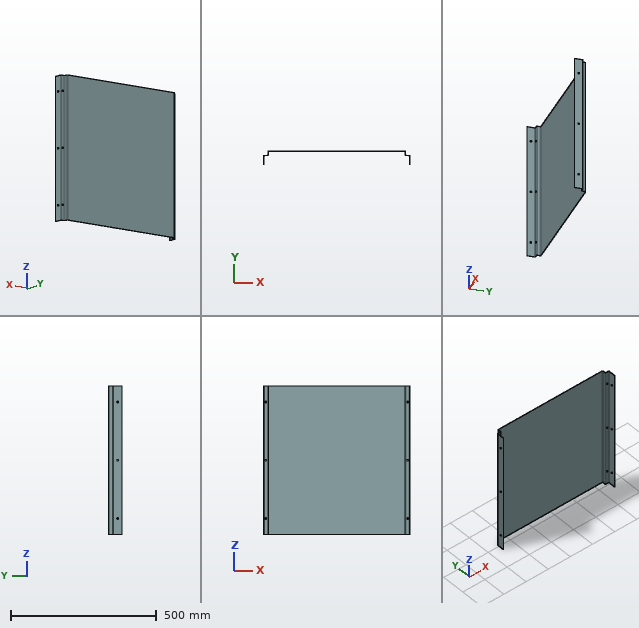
import cadquery as cq

width = 503.0
depth = 46.5
height = 510.0

thickness = 1.5
inner_bend_radius = 1.5
outer_bend_radius = inner_bend_radius + thickness

step_width = 15.0
step_depth = 15.0

hole_diameter = 5.0
hole_pitch = 200.0
shelf_hole_inset = 7.5
flange_hole_setback = 15.0

half_width = width / 2
half_depth = depth / 2
shelf_back = half_depth - step_depth
web_outer_x = half_width - step_width
hole_heights = [-hole_pitch, 0, hole_pitch]


def vertical_prism(points):
    """Extrude a closed XY outline over the full panel height."""
    return cq.Workplane("XY").workplane(offset=-height / 2).polyline(points).close().extrude(height)


def round_edge(body, x, y, radius):
    """Round the vertical edges at (x, y) and at its mirror image (-x, y)."""
    reach = thickness / 4
    for side in (-1, 1):
        corner = cq.selectors.BoxSelector(
            (side * x - reach, y - reach, -reach),
            (side * x + reach, y + reach, reach),
        )
        body = body.edges(corner).fillet(radius)
    return body


def bent_sheet():
    """Constant-thickness stepped channel with rounded bends."""
    right_outer = [
        (web_outer_x, half_depth),
        (web_outer_x, shelf_back),
        (half_width, shelf_back),
        (half_width, -half_depth),
    ]
    right_inner = [
        (half_width - thickness, -half_depth),
        (half_width - thickness, shelf_back - thickness),
        (web_outer_x - thickness, shelf_back - thickness),
        (web_outer_x - thickness, half_depth - thickness),
    ]
    right_half = right_outer + right_inner
    left_half = [(-x, y) for x, y in reversed(right_half)]
    body = vertical_prism(right_half + left_half)

    outside_of_bends = [
        (web_outer_x, half_depth),
        (half_width, shelf_back),
        (web_outer_x - thickness, shelf_back - thickness),
    ]
    inside_of_bends = [
        (web_outer_x - thickness, half_depth - thickness),
        (half_width - thickness, shelf_back - thickness),
        (web_outer_x, shelf_back),
    ]
    for x, y in outside_of_bends:
        body = round_edge(body, x, y, outer_bend_radius)
    for x, y in inside_of_bends:
        body = round_edge(body, x, y, inner_bend_radius)
    return body


def shelf_holes():
    """Drills along Y through both shelves."""
    hole_x = half_width - shelf_hole_inset
    centers = [(x, z) for x in (-hole_x, hole_x) for z in hole_heights]
    return cq.Workplane("XZ").pushPoints(centers).circle(hole_diameter / 2).extrude(depth, both=True)


def flange_holes():
    """Drills along X through both flanges."""
    centers = [(flange_hole_setback - half_depth, z) for z in hole_heights]
    return cq.Workplane("YZ").pushPoints(centers).circle(hole_diameter / 2).extrude(width, both=True)


result = bent_sheet().cut(shelf_holes()).cut(flange_holes())